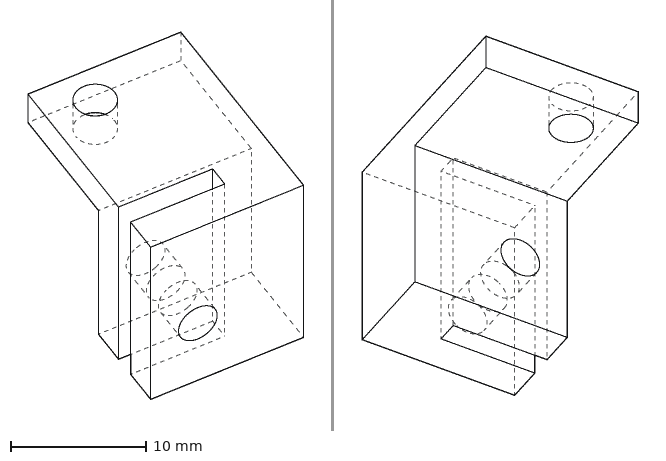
import cadquery as cq

length = 18.3
width = 13.0
height = 16.0

wall = 3.0
slot_width = 1.8
slot_depth = 8.0
hole_diameter = 3.3
hole_from_front = 4.0
flange_hole_x = wall
jaw_hole_z = 2 * wall

slot_x = length - wall - slot_width
jaw_x = slot_x - wall


def box_at(x, z, size_x, size_y, size_z):
    """Box starting at the front face, with its lowest corner at (x, 0, z)."""
    return cq.Workplane("XY").box(size_x, size_y, size_z, centered=False).translate((x, 0, z))


flange = box_at(0, height - wall, length, width, wall)
upright = box_at(jaw_x, 0, length - jaw_x, width, height)
body = flange.union(upright)

slot = box_at(slot_x, 0, slot_width, slot_depth, height)

flange_hole = (
    cq.Workplane("XY")
    .center(flange_hole_x, hole_from_front)
    .circle(hole_diameter / 2)
    .extrude(height)
)

jaw_hole = (
    cq.Workplane("YZ")
    .center(hole_from_front, jaw_hole_z)
    .circle(hole_diameter / 2)
    .extrude(length)
)

result = body.cut(slot).cut(flange_hole).cut(jaw_hole)